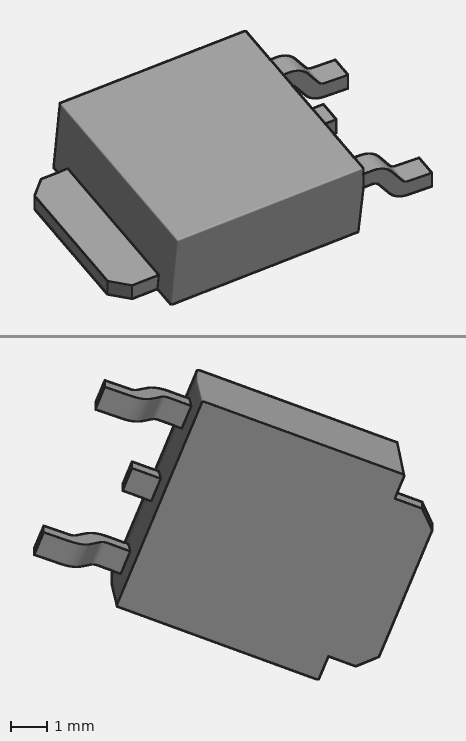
import cadquery as cq
import math

housing_width = 6.5
housing_height = 2.3
housing_back_y = 2.46
housing_front_y = -3.66
front_draft = 5.0
back_draft = 6.0
edge_radius = 0.05

metal_thickness = 0.51

tab_width = 5.0
tab_end_y = -4.96
tab_corner = 0.5

lead_width = 0.71
lead_offset = 2.3
lead_end_y = 4.96
lead_top = 1.46
shoulder_end_y = 3.07
stub_end_y = 3.25
bend_radius = 0.25
slope_angle = 55.0
foot_angle = 3.0

lead_underside = lead_top - metal_thickness
outer_bend_radius = bend_radius + metal_thickness


def back_face_y(z):
    """Y of the drafted back face at a height z up to the parting line."""
    return housing_back_y - (lead_top - z) * math.tan(math.radians(back_draft))


def make_block():
    """Molded block: drafted side profile with rounded top and upright edges."""
    front_top_y = housing_front_y + housing_height * math.tan(math.radians(front_draft))
    block = (
        cq.Workplane("YZ")
        .moveTo(housing_front_y, 0)
        .lineTo(back_face_y(0), 0)
        .lineTo(housing_back_y, lead_top)
        .lineTo(housing_back_y, housing_height)
        .lineTo(front_top_y, housing_height)
        .close()
        .extrude(housing_width / 2, both=True)
    )
    upright_edges = block.faces("<X or >X").edges("not #Z")
    return block.faces(">Z").edges().add(upright_edges).fillet(edge_radius)


def make_tab():
    """Flat plate with two clipped corners, running back into the block to Y = 0."""
    return (
        cq.Workplane("XY")
        .box(tab_width, -tab_end_y, metal_thickness, centered=(True, False, False))
        .translate((0, tab_end_y, 0))
        .edges("|Z and <Y")
        .chamfer(tab_corner)
    )


def make_stub():
    """Cropped centre lead, running forward into the block to Y = 0."""
    return (
        cq.Workplane("XY")
        .box(lead_width, stub_end_y, metal_thickness, centered=(True, False, False))
        .translate((0, 0, lead_underside))
    )


def make_housing():
    return make_block().union(make_tab()).union(make_stub())


def polar(centre, radius, angle):
    """(Y, Z) point at a radius from a centre, with the angle measured from +Z towards +Y."""
    return (centre[0] + radius * math.sin(angle), centre[1] + radius * math.cos(angle))


def lower_bend_centre(upper_centre, slope, foot):
    """Slide down the slope until the underside of the foot ends at Z = 0."""
    start = polar(upper_centre, outer_bend_radius + bend_radius, slope)
    height = (start[0] - lead_end_y) * math.sin(foot) + start[1] * math.cos(foot)
    slope_length = (height - outer_bend_radius) / math.sin(slope - foot)
    return (start[0] + slope_length * math.cos(slope), start[1] - slope_length * math.sin(slope))


def make_lead(x):
    """Gull-wing lead that butts against the back face of the housing."""
    slope = math.radians(slope_angle)
    foot = math.radians(foot_angle)
    upper = (shoulder_end_y, lead_top - outer_bend_radius)
    lower = lower_bend_centre(upper, slope, foot)
    upper_mid = slope / 2
    lower_slope = slope + math.pi
    lower_foot = foot + math.pi
    lower_mid = (lower_slope + lower_foot) / 2
    return (
        cq.Workplane("YZ")
        .moveTo(back_face_y(lead_top), lead_top)
        .lineTo(shoulder_end_y, lead_top)
        .threePointArc(polar(upper, outer_bend_radius, upper_mid), polar(upper, outer_bend_radius, slope))
        .lineTo(*polar(lower, bend_radius, lower_slope))
        .threePointArc(polar(lower, bend_radius, lower_mid), polar(lower, bend_radius, lower_foot))
        .lineTo(lead_end_y, metal_thickness / math.cos(foot))
        .lineTo(lead_end_y, 0)
        .lineTo(*polar(lower, outer_bend_radius, lower_foot))
        .threePointArc(
            polar(lower, outer_bend_radius, lower_mid),
            polar(lower, outer_bend_radius, lower_slope),
        )
        .lineTo(*polar(upper, bend_radius, slope))
        .threePointArc(polar(upper, bend_radius, upper_mid), (shoulder_end_y, lead_underside))
        .lineTo(back_face_y(lead_underside), lead_underside)
        .close()
        .extrude(lead_width / 2, both=True)
        .translate((x, 0, 0))
    )


housing = make_housing()
leads = [make_lead(side * lead_offset) for side in (-1, 1)]
result = cq.Compound.makeCompound([housing.val(), *[lead.val() for lead in leads]])